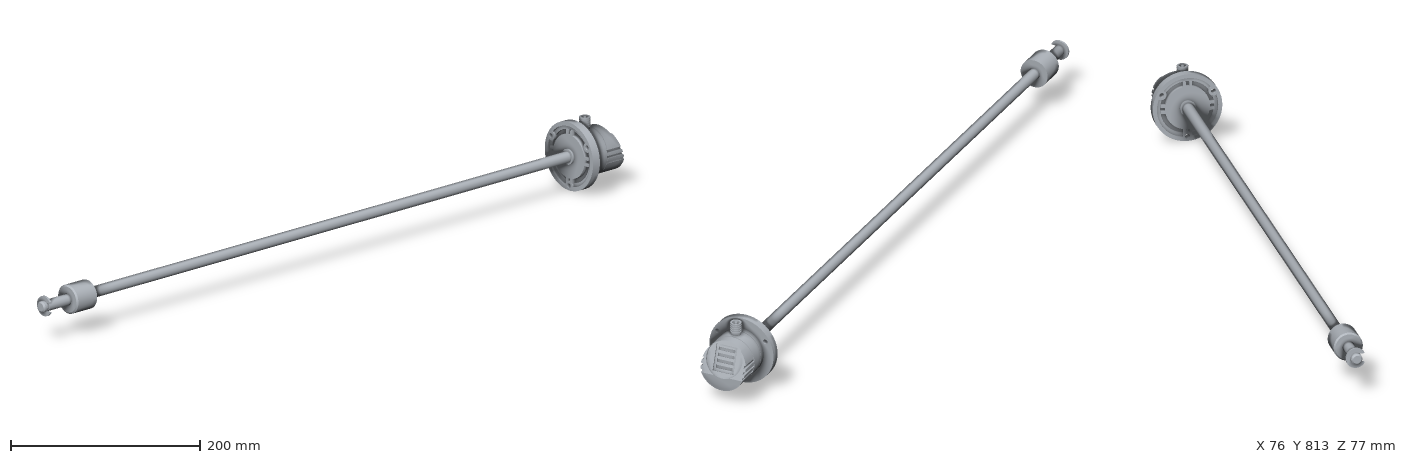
import cadquery as cq
import math


stem_diameter = 12.0
stem_length = 756.0
stem_tip_chamfer = 2.0
collar_diameter = 17.0
collar_height = 2.5

flange_diameter = 76.0
flange_thickness = 10.0
mount_circle_radius = 32.5
mount_hole_diameter = 5.2
mount_boss_diameter = 10.5
mount_count = 3

recess_outer_diameter = 67.0
recess_step_diameter = 58.5
recess_inner_diameter = 49.0
recess_outer_depth = 2.5
recess_inner_depth = 5.0
rib_width = 10.0
rib_slot_width = 4.0
rib_count = 4

total_length = 813.0
head_diameter = 52.0
head_back = total_length - stem_length
head_radius = head_diameter / 2
slant_start_z = -10.0
slant_run = 13.0
seam_width = 1.0
seam_depth = 0.4
foot_seam_y = 15.5
cap_seam_y = 31.0

grip_center_z = -5.0
grip_height = 22.0
grip_depth = 2.5
grip_rib_height = 3.0
grip_rib_pitch = 6.1

window_diameter = 42.0
window_depth = 2.0
window_panel_width = 24.0
window_panel_height = 29.0
window_panel_depth = 2.0
panel_slot_count = 4
panel_slot_width = 19.5
panel_slot_height = 3.0
panel_slot_pitch = 6.5
panel_slot_depth = 2.0

connector_y = 23.0
overall_height = 77.0
connector_top_z = overall_height - flange_diameter / 2
connector_diameter = 12.0
connector_neck_diameter = 10.5
connector_neck_top_z = 28.0
connector_bore_diameter = 8.0
connector_bore_depth = 6.5
connector_pin_diameter = 3.0
connector_ridge_pitch = 2.5
connector_ridge_height = 1.2

float_diameter = 32.0
float_length = 28.5
float_bore_diameter = 13.0
float_front_y = -718.0
float_chamfer = 2.0

clip_diameter = 22.0
clip_thickness = 2.5
clip_groove_diameter = 10.0
clip_front_y = -751.0
clip_tip_x = 9.0


def rod(diameter, y_start, y_end):
    """Cylinder on the Y axis between two Y positions."""
    return (
        cq.Workplane("XZ", origin=(0, y_start, 0))
        .circle(diameter / 2)
        .extrude(y_start - y_end)
    )


def ring(outer_diameter, inner_diameter, y_start, y_end):
    """Ring on the Y axis between two Y positions."""
    return rod(outer_diameter, y_start, y_end).cut(rod(inner_diameter, y_start, y_end))


def post(diameter, z_start, z_end):
    """Upright cylinder at the connector position."""
    return (
        cq.Workplane("XY", origin=(0, connector_y, z_start))
        .circle(diameter / 2)
        .extrude(z_end - z_start)
    )


def at_angles(tool, count):
    """Copies of a tool spaced evenly around the Y axis."""
    return [
        tool.rotate((0, 0, 0), (0, 1, 0), index * 360 / count)
        for index in range(count)
    ]


def make_stem():
    stem = rod(stem_diameter, -stem_length, 0).faces("<Y").chamfer(stem_tip_chamfer)
    groove = ring(stem_diameter, clip_groove_diameter, clip_front_y, clip_front_y + clip_thickness)
    return stem.cut(groove).union(rod(collar_diameter, -collar_height, 0))


def make_flange():
    flange = rod(flange_diameter, 0, flange_thickness).cut(face_recess())
    mount_hole = rod(mount_hole_diameter, 0, flange_thickness).translate((0, 0, -mount_circle_radius))
    for hole in at_angles(mount_hole, mount_count):
        flange = flange.cut(hole)
    return flange


def face_recess():
    """Ring recess that leaves the mounting bosses and the ribs standing."""
    recess = ring(recess_outer_diameter, recess_inner_diameter, 0, recess_outer_depth)
    recess = recess.union(ring(recess_step_diameter, recess_inner_diameter, 0, recess_inner_depth))
    boss = rod(mount_boss_diameter, 0, recess_inner_depth).translate((0, 0, -mount_circle_radius))
    for standing_boss in at_angles(boss, mount_count):
        recess = recess.cut(standing_boss)
    rib = radial_bar(rib_width).cut(radial_bar(rib_slot_width))
    for standing_rib in at_angles(rib, rib_count):
        recess = recess.cut(standing_rib)
    return recess


def radial_bar(width):
    """Bar of the inner recess depth that reaches from the Y axis to the recess step."""
    return cq.Workplane("XY").box(
        width, recess_inner_depth, recess_step_diameter / 2, centered=(True, False, False)
    )


def make_head():
    head = rod(head_diameter, flange_thickness, head_back)
    slant_wedge = (
        cq.Workplane("YZ")
        .moveTo(head_back, slant_start_z)
        .lineTo(head_back - slant_run, head_radius)
        .lineTo(head_back, head_radius)
        .close()
        .extrude(head_radius, both=True)
    )
    head = head.cut(slant_wedge)
    for seam_y in (foot_seam_y, cap_seam_y):
        head = head.cut(
            ring(head_diameter, head_diameter - 2 * seam_depth, seam_y, seam_y + seam_width)
        )
    for side in (-1, 1):
        head = head.cut(grip_recess(side))
    return cut_window(head)


def grip_recess(side):
    """Recess in one side of the cap, with three ribs along Y left standing."""
    length = head_back - cap_seam_y
    center = (side * head_radius, cap_seam_y + length / 2, grip_center_z)
    recess = cq.Workplane("XY").box(2 * grip_depth, length, grip_height)
    for step in (-1, 0, 1):
        rib = cq.Workplane("XY").box(2 * grip_depth, length, grip_rib_height)
        recess = recess.cut(rib.translate((0, 0, step * grip_rib_pitch)))
    return recess.translate(center)


def cut_window(head):
    """Round window, a flat panel in its floor and a row of slots across the panel."""
    slant_rise = head_radius - slant_start_z
    slant_length = math.hypot(slant_run, slant_rise)
    middle = (0, head_back - slant_run / 2, slant_start_z + slant_rise / 2)
    outward = cq.Vector(0, slant_rise / slant_length, slant_run / slant_length)

    def on_slant(depth):
        origin = cq.Vector(*middle) - outward * depth
        return cq.Workplane(cq.Plane(origin=origin, xDir=(1, 0, 0), normal=outward))

    panel_floor = window_depth + window_panel_depth
    window = on_slant(window_depth).circle(window_diameter / 2).extrude(window_depth)
    panel = on_slant(panel_floor).rect(window_panel_width, window_panel_height).extrude(panel_floor)
    slot_depth = panel_floor + panel_slot_depth
    slots = (
        on_slant(slot_depth)
        .rarray(panel_slot_pitch, panel_slot_pitch, 1, panel_slot_count)
        .rect(panel_slot_width, panel_slot_height)
        .extrude(slot_depth)
    )
    return head.cut(window).cut(panel).cut(slots)


def make_connector():
    connector = post(connector_neck_diameter, 0, connector_top_z)
    ridge_count = math.floor((connector_top_z - connector_neck_top_z) / connector_ridge_pitch) + 1
    for index in range(ridge_count):
        ridge_top_z = connector_top_z - index * connector_ridge_pitch
        connector = connector.union(
            post(connector_diameter, ridge_top_z - connector_ridge_height, ridge_top_z)
        )
    connector = connector.cut(
        post(connector_bore_diameter, connector_top_z - connector_bore_depth, connector_top_z)
    )
    return connector.union(post(connector_pin_diameter, 0, connector_top_z))


def make_sensor():
    return make_flange().union(make_stem()).union(make_head()).union(make_connector())


def make_float():
    body = rod(float_diameter, float_front_y, float_front_y + float_length)
    body = body.faces("<Y").chamfer(float_chamfer)
    return body.cut(rod(float_bore_diameter, float_front_y, float_front_y + float_length))


def make_clip():
    clip_back_y = clip_front_y + clip_thickness
    clip = ring(clip_diameter, clip_groove_diameter, clip_front_y, clip_back_y)
    mouth = cq.Workplane("XY").box(
        clip_diameter, clip_thickness, clip_groove_diameter, centered=(False, False, True)
    )
    tip_trim = cq.Workplane("XY").box(
        clip_diameter, clip_thickness, clip_diameter, centered=(False, False, True)
    )
    return clip.cut(mouth.translate((0, clip_front_y, 0))).cut(
        tip_trim.translate((clip_tip_x, clip_front_y, 0))
    )


sensor = make_sensor()
level_float = make_float()
clip = make_clip()

result = cq.Compound.makeCompound([sensor.val(), level_float.val(), clip.val()])